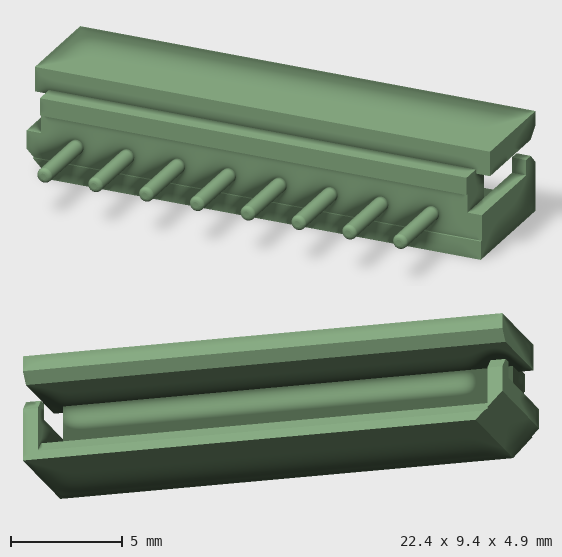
import cadquery as cq

pin_count = 8
pin_pitch = 2.5
end_margin = 2.45
length = (pin_count - 1) * pin_pitch + 2 * end_margin
height = 4.9
depth = 5.9

end_wall = 0.7
floor_thickness = 0.9
roof_underside = 3.7
roof_depth = 4.9
front_wall_rear = 4.0
front_wall_top = 3.9
mouth_chamfer = 0.5

sill_height = 2.15
lip_height = 2.9
lip_depth = 1.0

recess_bottom = 0.9
recess_top = 3.05
recess_depth = 0.1

corner_chamfer = 1.25

pin_diameter = 0.7
pin_height = 1.8
pin_tip = 9.4
pin_tip_rounding = 0.2

recess_face = depth - recess_depth


def extrude_profile(points, x_start, width):
    """Extrude an outline along +X; its points are (distance forward of the rear face, height)."""
    outline = cq.Workplane("YZ", origin=(x_start, 0, 0)).polyline([(-d, z) for d, z in points]).close()
    return outline.extrude(width)


def make_roof():
    """Top plate, chamfered on its lower rear edge."""
    points = [
        (0, height),
        (roof_depth, height),
        (roof_depth, roof_underside),
        (mouth_chamfer, roof_underside),
        (0, roof_underside + mouth_chamfer),
    ]
    return extrude_profile(points, -length / 2, length)


def make_front_wall():
    """Wall between the end walls that carries the pins and joins floor and roof."""
    points = [
        (front_wall_rear, 0),
        (depth, 0),
        (depth, front_wall_top),
        (front_wall_rear, front_wall_top),
    ]
    return extrude_profile(points, -length / 2 + end_wall, length - 2 * end_wall)


def make_floor():
    """Bottom plate, chamfered on its upper rear edge."""
    points = [
        (0, 0),
        (depth, 0),
        (depth, floor_thickness),
        (mouth_chamfer, floor_thickness),
        (0, floor_thickness - mouth_chamfer),
    ]
    return extrude_profile(points, -length / 2, length)


def make_end_wall(x_start):
    """Low end wall with a chamfered lip standing at its rear."""
    points = [
        (0, 0),
        (depth, 0),
        (depth, sill_height),
        (lip_depth, sill_height),
        (lip_depth, lip_height),
        (mouth_chamfer, lip_height),
        (0, lip_height - mouth_chamfer),
    ]
    return extrude_profile(points, x_start, end_wall)


def make_front_recess():
    """Cutter for the shallow full-length recess in the front face."""
    points = [
        (recess_face, recess_bottom),
        (depth, recess_bottom),
        (depth, recess_top),
        (recess_face, recess_top),
    ]
    return extrude_profile(points, -length / 2, length)


def make_corner_cutter():
    """Triangular prism that removes the lower edge of the -X end."""
    x_end = -length / 2
    corner = cq.Workplane("XZ").polyline([(x_end, 0), (x_end + corner_chamfer, 0), (x_end, corner_chamfer)])
    return corner.close().extrude(depth)


def make_pin(x):
    """Round-tipped pin pointing forward (-Y) from the recessed face, rooted inside the front wall."""
    base = cq.Workplane("XZ", origin=(x, -front_wall_rear, pin_height)).circle(pin_diameter / 2)
    return base.extrude(pin_tip - front_wall_rear).faces("<Y").fillet(pin_tip_rounding)


result = make_roof().union(make_front_wall()).union(make_floor())
for wall_start in (-length / 2, length / 2 - end_wall):
    result = result.union(make_end_wall(wall_start))
result = result.cut(make_front_recess()).cut(make_corner_cutter())

for index in range(pin_count):
    pin_x = (index - (pin_count - 1) / 2) * pin_pitch
    result = result.union(make_pin(pin_x))